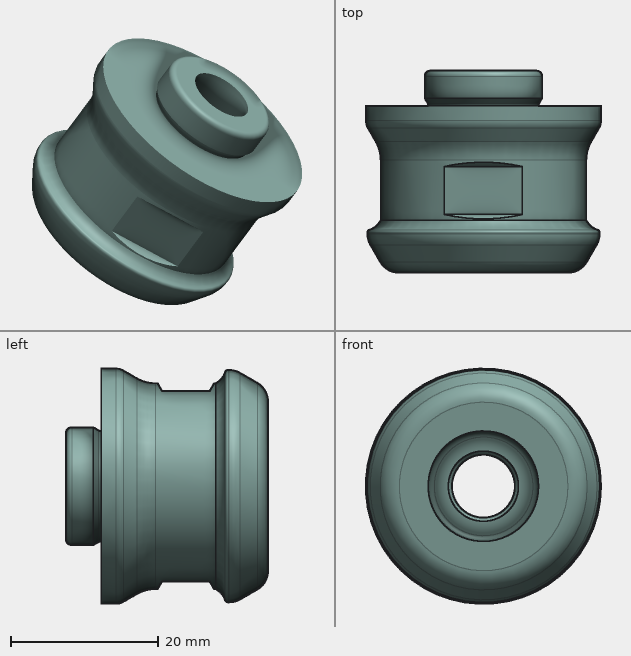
import cadquery as cq
import math

flank_angle = math.radians(30)
sin_flank = math.sin(flank_angle)
cos_flank = math.cos(flank_angle)
tan_flank = math.tan(flank_angle)

total_length = 27.5
flange_radius = 16.0
waist_radius = 14.0
rim_radius = 31.6 / 2

nose_fillet = 3.0
crest_y = 5.35
crest_land = 0.1
crest_fillet = 0.45
crest_sweep = 73
rim_cove = 2.5

flange_back_y = 22.7
flange_land = 2.0
flange_fillet = 2.0
flange_cove = 5.0

spigot_radius = 8.0
neck_radius = 15.0 / 2
neck_fillet = 0.75
spigot_fillet = 0.8

hole_radius = 8.5 / 2
hole_chamfer = 0.5
counterbore_radius = 15.0 / 2
counterbore_depth = 8.5
counterbore_fillet = 0.8

flat_height = 12.95
flat_front_y = 7.95
flat_back_y = 14.43


def arc_point(center, radius, degrees):
    """Point on an arc in the (radius, Y) half plane."""
    angle = math.radians(degrees)
    return (center[0] + radius * math.cos(angle), center[1] + radius * math.sin(angle))


def make_body():
    crest_center = (rim_radius - nose_fillet, crest_y)
    flank_top = arc_point(crest_center, nose_fillet, -30)
    nose_end_y = nose_fillet * (1 - sin_flank)
    nose_end_radius = flank_top[0] - (flank_top[1] - nose_end_y) * tan_flank
    nose_center = (nose_end_radius - nose_fillet * cos_flank, nose_fillet)
    tip_center = (rim_radius - crest_fillet, crest_y + crest_land)
    rim_cove_center = arc_point(tip_center, crest_fillet + rim_cove, crest_sweep)
    cove_start = 180 + crest_sweep
    cove_end = 180 + math.degrees(math.acos((rim_cove_center[0] - waist_radius) / rim_cove))

    flange_center = (flange_radius - flange_fillet, flange_back_y - flange_land)
    cone_top = arc_point(flange_center, flange_fillet, -30)
    cone_bottom_radius = waist_radius + flange_cove * (1 - cos_flank)
    cone_bottom_y = cone_top[1] - (cone_top[0] - cone_bottom_radius) / tan_flank
    flange_cove_center = (waist_radius + flange_cove, cone_bottom_y - flange_cove * sin_flank)

    neck_center = (neck_radius + neck_fillet, flange_back_y)
    neck_end = arc_point(neck_center, neck_fillet, 150)
    neck_cone_end_y = neck_end[1] + (spigot_radius - neck_end[0]) / tan_flank
    spigot_center = (spigot_radius - spigot_fillet, total_length - spigot_fillet)

    profile = (
        cq.Workplane("XY")
        .lineTo(nose_center[0], 0)
        .threePointArc(arc_point(nose_center, nose_fillet, -60), (nose_end_radius, nose_end_y))
        .lineTo(*flank_top)
        .threePointArc(arc_point(crest_center, nose_fillet, -15), (rim_radius, crest_y))
        .lineTo(rim_radius, tip_center[1])
        .threePointArc(
            arc_point(tip_center, crest_fillet, crest_sweep / 2),
            arc_point(tip_center, crest_fillet, crest_sweep),
        )
        .threePointArc(
            arc_point(rim_cove_center, rim_cove, (cove_start + cove_end) / 2),
            arc_point(rim_cove_center, rim_cove, cove_end),
        )
        .lineTo(waist_radius, flange_cove_center[1])
        .threePointArc(
            arc_point(flange_cove_center, flange_cove, 165),
            (cone_bottom_radius, cone_bottom_y),
        )
        .lineTo(*cone_top)
        .threePointArc(
            arc_point(flange_center, flange_fillet, -15),
            (flange_radius, flange_center[1]),
        )
        .lineTo(flange_radius, flange_back_y)
        .lineTo(neck_radius, flange_back_y)
        .threePointArc(arc_point(neck_center, neck_fillet, 165), neck_end)
        .lineTo(spigot_radius, neck_cone_end_y)
        .lineTo(spigot_radius, spigot_center[1])
        .threePointArc(
            arc_point(spigot_center, spigot_fillet, 45),
            (spigot_center[0], total_length),
        )
        .lineTo(0, total_length)
        .close()
    )
    return profile.revolve(360, (0, 0, 0), (0, 1, 0))


def make_bore():
    floor_center = (counterbore_radius - counterbore_fillet, counterbore_depth - counterbore_fillet)
    profile = (
        cq.Workplane("XY")
        .lineTo(counterbore_radius, 0)
        .lineTo(counterbore_radius, floor_center[1])
        .threePointArc(
            arc_point(floor_center, counterbore_fillet, 45),
            (floor_center[0], counterbore_depth),
        )
        .lineTo(hole_radius + hole_chamfer, counterbore_depth)
        .lineTo(hole_radius, counterbore_depth + hole_chamfer)
        .lineTo(hole_radius, total_length)
        .lineTo(0, total_length)
        .close()
    )
    return profile.revolve(360, (0, 0, 0), (0, 1, 0))


def make_flat_cutter():
    """Trapezoidal groove along X above the +Z flat, with sloped end walls."""
    top = waist_radius + 0.03
    spread = (top - flat_height) * tan_flank
    return (
        cq.Workplane("YZ")
        .polyline([
            (flat_front_y, flat_height),
            (flat_back_y, flat_height),
            (flat_back_y + spread, top),
            (flat_front_y - spread, top),
        ])
        .close()
        .extrude(waist_radius, both=True)
    )


flat_cutter = make_flat_cutter()
result = make_body().cut(make_bore()).cut(flat_cutter).cut(flat_cutter.mirror("XY"))